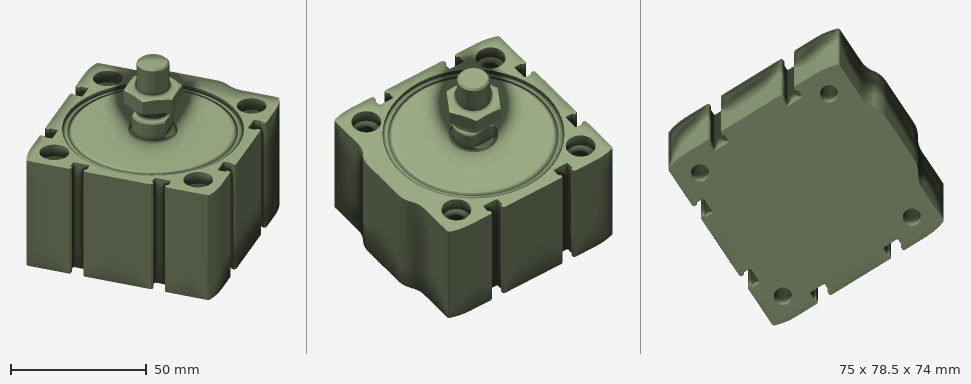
import cadquery as cq
import math

WIDTH = 75.0
HALF = WIDTH / 2
LENGTH = 78.5
BODY_HEIGHT = 45.0
TOTAL_HEIGHT = 74.0
BOW_START = 28.5
CORNER_X = 35.9
CORNER_FILLET = 1.1

CREST_HALF = 9.6
BULGE_HALF = 20.8
CREST_Y = LENGTH - HALF

SLOT_OFFSET = 16.0
SLOT_DEPTH = 5.0
SLOT_WIDTH = 6.5
NECK_WIDTH = 5.0
NECK_DEPTH = 1.65
SLOT_FILLET = 0.5
MOUTH_FILLET = 0.4

BOLT_OFFSET = 28.25
BOLT_DIAMETER = 6.7
COUNTERBORE_DIAMETER = 11.0
COUNTERBORE_DEPTH = 4.95
COUNTERSINK_DIAMETER = 8.0

RECESS_DIAMETER = 67.0
CREST_DIAMETER = 63.5
CREST_DEPTH = 0.6
RING_ANGLE = 30.0
GROOVE_DIAMETER = 62.7
GROOVE_ANGLE = 41.0
COVER_EDGE_DIAMETER = 60.3
COVER_EDGE_DEPTH = 0.6
COVER_DIAMETER = 59.0
COVER_DEPTH = 0.4
WIPER_DIAMETER = 18.1
WIPER_ANGLE = 40.0

ROD_DIAMETER = 16.0
ROD_TOP = 52.2
ROD_CHAMFER_HEIGHT = 0.6
ROD_CHAMFER = 0.4
ROD_INSERTION = 15.7
FLAT_WIDTH = 13.0
FLAT_BOTTOM = 45.7
RUN_OUT_ANGLE = 38.0
FLAT_OVERCUT = 0.8
NECK_DIAMETER = 9.8
NECK_FILLET = 0.55
THREAD_DIAMETER = 12.0
THREAD_BOTTOM = 53.9
THREAD_TIP_DIAMETER = 10.7

NUT_FLATS = 19.0
NUT_FACE_DIAMETER = 18.85
NUT_BOTTOM = 57.1
NUT_HEIGHT = 6.0
NUT_CHAMFER_ANGLE = 15.0


def revolve_profile(points):
    """Solid of revolution about Z from (radius, z) points."""
    return cq.Workplane("XZ").polyline(points).close().revolve(360, (0, 0, 0), (0, 1, 0))


def cone_height(outer_diameter, inner_diameter, angle):
    """Height of a cone between two diameters, sloping at an angle from horizontal."""
    return (outer_diameter - inner_diameter) / 2 * math.tan(math.radians(angle))


def make_block():
    """Block with bowed corners on its left and right sides and a bulge on its rear."""
    rise = HALF - BOW_START
    inset = HALF - CORNER_X
    bow_radius = (rise**2 + inset**2) / (2 * inset)
    half_angle = math.asin(rise / bow_radius) / 2
    bow_x = HALF - bow_radius * (1 - math.cos(half_angle))
    bow_y = BOW_START + bow_radius * math.sin(half_angle)

    mid_x = (BULGE_HALF + CREST_HALF) / 2
    mid_y = (CREST_Y + HALF) / 2

    outline = (
        cq.Workplane("XY")
        .moveTo(-CORNER_X, -HALF)
        .lineTo(CORNER_X, -HALF)
        .threePointArc((bow_x, -bow_y), (HALF, -BOW_START))
        .lineTo(HALF, BOW_START)
        .threePointArc((bow_x, bow_y), (CORNER_X, HALF))
        .lineTo(BULGE_HALF, HALF)
        .tangentArcPoint((mid_x, mid_y), relative=False)
        .tangentArcPoint((CREST_HALF, CREST_Y), relative=False)
        .lineTo(-CREST_HALF, CREST_Y)
        .tangentArcPoint((-mid_x, mid_y), relative=False)
        .tangentArcPoint((-BULGE_HALF, HALF), relative=False)
        .lineTo(-CORNER_X, HALF)
        .threePointArc((-bow_x, bow_y), (-HALF, BOW_START))
        .lineTo(-HALF, -BOW_START)
        .threePointArc((-bow_x, -bow_y), (-CORNER_X, -HALF))
        .close()
    )
    block = outline.extrude(BODY_HEIGHT)
    corners = [(sx * CORNER_X, sy * HALF) for sx in (-1, 1) for sy in (-1, 1)]
    for x, y in corners:
        corner_edge = cq.selectors.NearestToPointSelector((x, y, BODY_HEIGHT / 2))
        block = block.edges(corner_edge).fillet(CORNER_FILLET)
    return block


def make_slot():
    """T-slot cutter opening through the front face, centred on X = 0."""
    cavity = (
        cq.Workplane("XY")
        .box(SLOT_WIDTH, SLOT_DEPTH - NECK_DEPTH, BODY_HEIGHT, centered=(True, False, False))
        .edges("|Z")
        .fillet(SLOT_FILLET)
        .translate((0, NECK_DEPTH - HALF, 0))
    )
    half_neck = NECK_WIDTH / 2
    half_mouth = half_neck + MOUTH_FILLET
    neck = (
        cq.Workplane("XY")
        .moveTo(-half_mouth, 0)
        .radiusArc((-half_neck, MOUTH_FILLET), MOUTH_FILLET)
        .lineTo(-half_neck, NECK_DEPTH + SLOT_FILLET)
        .lineTo(half_neck, NECK_DEPTH + SLOT_FILLET)
        .lineTo(half_neck, MOUTH_FILLET)
        .radiusArc((half_mouth, 0), MOUTH_FILLET)
        .close()
        .extrude(BODY_HEIGHT)
        .translate((0, -HALF, 0))
    )
    return cavity.union(neck)


def make_bolt_hole():
    """Counterbored and countersunk through hole cutter on the Z axis."""
    floor = BODY_HEIGHT - COUNTERBORE_DEPTH
    bolt_radius = BOLT_DIAMETER / 2
    sink_radius = COUNTERSINK_DIAMETER / 2
    bore_radius = COUNTERBORE_DIAMETER / 2
    return revolve_profile([
        (0, 0),
        (bolt_radius, 0),
        (bolt_radius, floor - (sink_radius - bolt_radius)),
        (sink_radius, floor),
        (bore_radius, floor),
        (bore_radius, BODY_HEIGHT),
        (0, BODY_HEIGHT),
    ])


def make_cover_recess():
    """Cutter that shapes the retaining ring, groove, cover face and rod wiper."""
    crest_z = BODY_HEIGHT - CREST_DEPTH
    ring_base_z = crest_z - cone_height(RECESS_DIAMETER, CREST_DIAMETER, RING_ANGLE)
    groove_top_z = crest_z - cone_height(CREST_DIAMETER, GROOVE_DIAMETER, GROOVE_ANGLE)
    cover_edge_z = BODY_HEIGHT - COVER_EDGE_DEPTH
    groove_bottom_z = cover_edge_z - cone_height(GROOVE_DIAMETER, COVER_EDGE_DIAMETER, GROOVE_ANGLE)
    cover_z = BODY_HEIGHT - COVER_DEPTH
    wiper_base_z = cover_z - cone_height(WIPER_DIAMETER, ROD_DIAMETER, WIPER_ANGLE)
    return revolve_profile([
        (0, BODY_HEIGHT),
        (RECESS_DIAMETER / 2, BODY_HEIGHT),
        (RECESS_DIAMETER / 2, ring_base_z),
        (CREST_DIAMETER / 2, crest_z),
        (GROOVE_DIAMETER / 2, groove_top_z),
        (GROOVE_DIAMETER / 2, groove_bottom_z),
        (COVER_EDGE_DIAMETER / 2, cover_edge_z),
        (COVER_DIAMETER / 2, cover_z),
        (WIPER_DIAMETER / 2, cover_z),
        (WIPER_DIAMETER / 2, wiper_base_z),
        (ROD_DIAMETER / 2, cover_z),
        (0, cover_z),
    ])


def make_housing():
    """Cylinder housing with its rod cover, sensor slots and mounting holes."""
    housing = make_block()
    slot = make_slot()
    for side in (-1, 1):
        front_slot = slot.translate((side * SLOT_OFFSET, 0, 0))
        housing = housing.cut(front_slot)
        for turn in (-90, 90):
            housing = housing.cut(front_slot.rotate((0, 0, 0), (0, 0, 1), turn))
    bolt_hole = make_bolt_hole()
    for x in (-BOLT_OFFSET, BOLT_OFFSET):
        for y in (-BOLT_OFFSET, BOLT_OFFSET):
            housing = housing.cut(bolt_hole.translate((x, y, 0)))
    rod_bore = (
        cq.Workplane("XY")
        .workplane(offset=BODY_HEIGHT - ROD_INSERTION)
        .circle(ROD_DIAMETER / 2)
        .extrude(ROD_INSERTION)
    )
    return housing.cut(make_cover_recess()).cut(rod_bore)


def make_flat_cutter():
    """Cutter for the wrench flat on the +X side, with its sloping run-out."""
    flat_x = FLAT_WIDTH / 2
    outer_x = ROD_DIAMETER / 2 + FLAT_OVERCUT
    run_out = (outer_x - flat_x) * math.tan(math.radians(RUN_OUT_ANGLE))
    return (
        cq.Workplane("XZ")
        .polyline([
            (flat_x, FLAT_BOTTOM),
            (outer_x, FLAT_BOTTOM - run_out),
            (outer_x, ROD_TOP),
            (flat_x, ROD_TOP),
        ])
        .close()
        .extrude(ROD_DIAMETER / 2, both=True)
    )


def make_rod():
    """Stepped rod: plain shank with wrench flats, undercut neck and threaded end."""
    rod_radius = ROD_DIAMETER / 2
    neck_radius = NECK_DIAMETER / 2
    thread_radius = THREAD_DIAMETER / 2
    tip_radius = THREAD_TIP_DIAMETER / 2
    base_z = BODY_HEIGHT - ROD_INSERTION
    profile = (
        cq.Workplane("XZ")
        .moveTo(0, base_z)
        .lineTo(rod_radius, base_z)
        .lineTo(rod_radius, ROD_TOP - ROD_CHAMFER_HEIGHT)
        .lineTo(rod_radius - ROD_CHAMFER, ROD_TOP)
        .lineTo(neck_radius + NECK_FILLET, ROD_TOP)
        .tangentArcPoint((neck_radius, ROD_TOP + NECK_FILLET), relative=False)
        .lineTo(neck_radius, THREAD_BOTTOM - (thread_radius - neck_radius))
        .lineTo(thread_radius, THREAD_BOTTOM)
        .lineTo(thread_radius, TOTAL_HEIGHT - (thread_radius - tip_radius))
        .lineTo(tip_radius, TOTAL_HEIGHT)
        .lineTo(0, TOTAL_HEIGHT)
        .close()
    )
    rod = profile.revolve(360, (0, 0, 0), (0, 1, 0))
    flat = make_flat_cutter()
    return rod.cut(flat).cut(flat.mirror("YZ"))


def make_nut():
    """Hexagon nut with corners along Y, chamfered on both faces."""
    corner_radius = NUT_FLATS / math.sqrt(3)
    face_radius = NUT_FACE_DIAMETER / 2
    drop = cone_height(2 * corner_radius, NUT_FACE_DIAMETER, NUT_CHAMFER_ANGLE)
    hexagon = (
        cq.Workplane("XY")
        .polygon(6, 2 * corner_radius)
        .circle(THREAD_DIAMETER / 2)
        .extrude(NUT_HEIGHT)
        .rotate((0, 0, 0), (0, 0, 1), 90)
    )
    envelope = revolve_profile([
        (0, 0),
        (face_radius, 0),
        (corner_radius, drop),
        (corner_radius, NUT_HEIGHT - drop),
        (face_radius, NUT_HEIGHT),
        (0, NUT_HEIGHT),
    ])
    return hexagon.intersect(envelope).translate((0, 0, NUT_BOTTOM))


housing = make_housing()
rod = make_rod()
nut = make_nut()

result = cq.Compound.makeCompound([housing.val(), rod.val(), nut.val()])